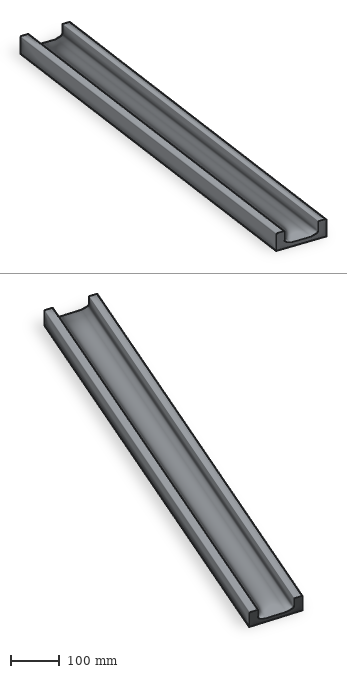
import cadquery as cq
import math

length = 1000.0
width = 121.0
height = 41.0

channel_width = 81.0
floor_width = 48.0
floor_height = 10.0
slope_angle = 18

outer_edge_radius = 4.5
inner_edge_radius = 2.0
wall_foot_radius = 8.0

half_width = width / 2
half_channel = channel_width / 2
half_floor = floor_width / 2
slope_rise = (half_channel - half_floor) * math.tan(math.radians(slope_angle))
wall_foot_height = floor_height + slope_rise

section = [
    (-half_width, 0),
    (half_width, 0),
    (half_width, height),
    (half_channel, height),
    (half_channel, wall_foot_height),
    (half_floor, floor_height),
    (-half_floor, floor_height),
    (-half_channel, wall_foot_height),
    (-half_channel, height),
    (-half_width, height),
]
rail = cq.Workplane("YZ").polyline(section).close().extrude(length / 2, both=True)


def round_edge_pair(body, y, z, radius):
    """Round the two lengthwise edges at height z, at y on either side of the rail."""
    for side in (-1, 1):
        edge = cq.selectors.NearestToPointSelector((0, side * y, z))
        body = body.edges("|X").edges(edge).fillet(radius)
    return body


rail = round_edge_pair(rail, half_width, height, outer_edge_radius)
rail = round_edge_pair(rail, half_channel, height, inner_edge_radius)
rail = round_edge_pair(rail, half_channel, wall_foot_height, wall_foot_radius)

result = rail